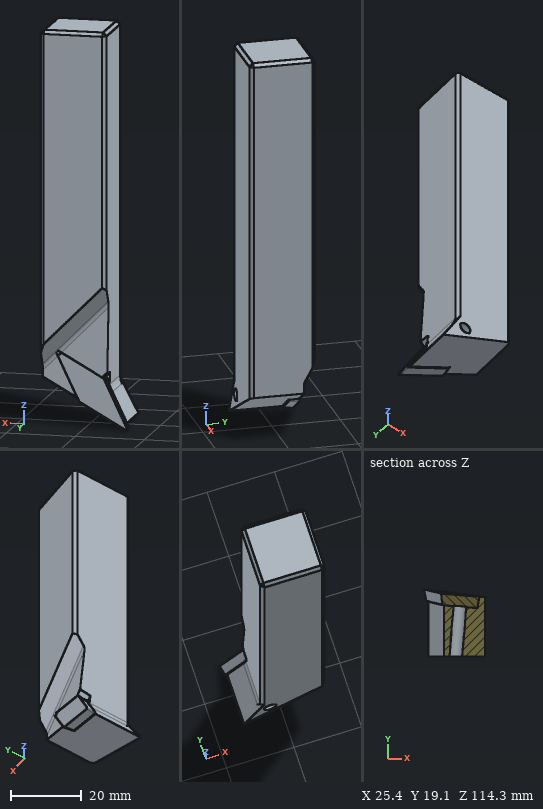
import cadquery as cq
import math

shank = 19.1
chamfer = 1.0

reach_x = -6.3
reach_z = -114.3
insert_edge = 16.7
nose_angle = 35.0
corner_radius = 0.2
insert_thickness = 3.2
clearance = 7.0
tilt = 6.6

nose_setback = 1.7
throat_radius = 5.1
seat_slide = 3.4

screw_diameter = 3.5
screw_x = 2.7
screw_z = -105.3

scoop_length = 30.3
scoop_wall_angle = 45.0
scoop_blend = 1.7

relief_half_height = 1.7
relief_z = -99.5
relief_depth = 3.5

flank_angle = (90 - nose_angle) / 2
half_nose = math.radians(nose_angle / 2)
flank_slope = math.tan(math.radians(flank_angle))
tool_size = 2 * shank

tip_overhang = corner_radius * (math.sqrt(0.5) / math.sin(half_nose) - 1)
tip_x = reach_x - tip_overhang
tip_z = reach_z - tip_overhang

nose_x = reach_x + nose_setback * math.sqrt(0.5)
nose_z = reach_z + nose_setback * math.sqrt(0.5)


def insert_plane():
    """Top face of the insert: origin at the tip, local X along the nose bisector."""
    drop = math.radians(tilt)
    along = math.cos(drop) / math.sqrt(2)
    rise = math.sin(drop) / math.sqrt(2)
    return cq.Plane(
        origin=(tip_x, shank, tip_z),
        xDir=(along, -math.sin(drop), along),
        normal=(rise, math.cos(drop), rise),
    )


def make_insert():
    half_length = insert_edge * math.cos(half_nose)
    half_width = insert_edge * math.sin(half_nose)
    rhombus = [(0, 0), (half_length, half_width), (2 * half_length, 0), (half_length, -half_width)]
    plane = insert_plane()
    insert = (
        cq.Workplane(plane)
        .polyline(rhombus)
        .close()
        .extrude(-insert_thickness, taper=clearance)
    )
    for x, y in rhombus:
        corner = plane.toWorldCoords((x, y, -insert_thickness / 2)).toTuple()
        insert = insert.edges(cq.selectors.NearestToPointSelector(corner)).fillet(corner_radius)
    return insert


def make_shank():
    """Chamfered bar, cut off below along the slanted nose flank."""
    bar = (
        cq.Workplane("XY")
        .rect(shank, shank, centered=False)
        .extrude(reach_z)
        .edges("|Z or >Z")
        .chamfer(chamfer)
    )
    flank_end_z = nose_z + (shank - nose_x) * flank_slope
    below_flank = (
        cq.Workplane("XZ")
        .polyline([(nose_x, nose_z), (shank, flank_end_z), (shank, 2 * reach_z), (nose_x, 2 * reach_z)])
        .close()
        .extrude(-shank)
    )
    return bar.cut(below_flank)


def make_nose():
    """Full-depth wedge that carries the insert and runs into the shank."""
    root_x = shank - chamfer
    throat_z = nose_z + (chamfer - nose_x) / flank_slope
    root_z = nose_z + (root_x - nose_x) * flank_slope
    return (
        cq.Workplane("XZ")
        .polyline([(nose_x, nose_z), (chamfer, throat_z), (root_x, root_z)])
        .close()
        .extrude(-shank)
    )


def make_scoop():
    """Clearance above the insert: floor flush with its top face, blended into a sloping wall."""
    wall_run = tool_size / math.tan(math.radians(scoop_wall_angle))
    profile = [
        (-tool_size, 0),
        (scoop_length, 0),
        (scoop_length + wall_run, tool_size),
        (-tool_size, tool_size),
    ]
    plane = insert_plane()
    side_plane = cq.Plane(origin=plane.origin, xDir=plane.xDir, normal=-plane.yDir)
    blend_point = plane.toWorldCoords((scoop_length, 0, 0)).toTuple()
    return (
        cq.Workplane(side_plane)
        .polyline(profile)
        .close()
        .extrude(tool_size, both=True)
        .edges(cq.selectors.NearestToPointSelector(blend_point))
        .fillet(scoop_blend)
    )


def make_seat(insert):
    """Insert space, open sideways through both cutting flanks."""
    plane = insert_plane()
    seat = insert
    for side in (1, -1):
        along_edge = plane.xDir * math.cos(half_nose) + plane.yDir * (side * math.sin(half_nose))
        seat = seat.union(insert.translate(along_edge * -seat_slide))
    return seat


def make_corner_relief():
    """Triangular notch, square to the insert face, behind the shank-side insert corner."""
    plane = insert_plane()
    corner = plane.toLocalCoords(cq.Vector(relief_half_height, shank, relief_z))
    top = plane.toLocalCoords(cq.Vector(0, shank, relief_z + relief_half_height))
    bottom = plane.toLocalCoords(cq.Vector(0, shank, relief_z - relief_half_height))
    outline = [(point.x, point.y) for point in (corner, top, bottom)]
    return cq.Workplane(plane).polyline(outline).close().extrude(-relief_depth)


def make_screw_hole():
    """Hole square to the insert, from the -Y face to the insert seat."""
    plane = insert_plane()
    axis_point = plane.toLocalCoords(cq.Vector(screw_x, 0, screw_z))
    return (
        cq.Workplane(plane)
        .workplane(offset=-insert_thickness)
        .center(axis_point.x, axis_point.y)
        .circle(screw_diameter / 2)
        .extrude(-tool_size)
    )


def make_holder(insert):
    throat_z = nose_z - nose_x / flank_slope
    throat_point = (0, shank / 2, throat_z)
    holder = make_shank().union(make_nose())
    holder = holder.edges(cq.selectors.NearestToPointSelector(throat_point)).fillet(throat_radius)
    return (
        holder
        .cut(make_scoop())
        .cut(make_seat(insert))
        .cut(make_corner_relief())
        .cut(make_screw_hole())
    )


insert = make_insert()
holder = make_holder(insert)
result = cq.Compound.makeCompound([holder.solids().val(), insert.val()])